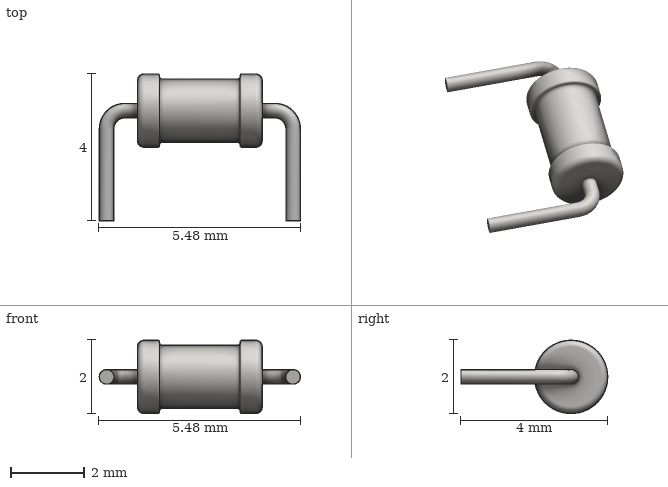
import cadquery as cq

overall_length = 5.48
body_length = 3.4
cap_radius = 1.0
barrel_radius = 0.865
lead_diameter = 0.4
bend_radius = 0.5
lead_drop = 3.0005

cap_width = 0.605
outer_rounding = 0.18
inner_rounding = 0.055
neck_fillet = 0.06

half_body = body_length / 2
half_pitch = (overall_length - lead_diameter) / 2
cap_inner_face = half_body - cap_width


def make_body():
    """Barrel between two wider, rounded end caps, as one solid of revolution."""
    barrel_end = cap_inner_face - neck_fillet
    neck_top = barrel_radius + neck_fillet
    inner_corner = cap_radius - inner_rounding
    rim_start = cap_inner_face + inner_rounding
    rim_end = half_body - outer_rounding
    outer_corner = cap_radius - outer_rounding
    profile = (
        cq.Workplane("XY")
        .moveTo(-half_body, 0)
        .lineTo(-half_body, outer_corner)
        .radiusArc((-rim_end, cap_radius), outer_rounding)
        .lineTo(-rim_start, cap_radius)
        .radiusArc((-cap_inner_face, inner_corner), inner_rounding)
        .lineTo(-cap_inner_face, neck_top)
        .radiusArc((-barrel_end, barrel_radius), -neck_fillet)
        .lineTo(barrel_end, barrel_radius)
        .radiusArc((cap_inner_face, neck_top), -neck_fillet)
        .lineTo(cap_inner_face, inner_corner)
        .radiusArc((rim_start, cap_radius), inner_rounding)
        .lineTo(rim_end, cap_radius)
        .radiusArc((half_body, outer_corner), outer_rounding)
        .lineTo(half_body, 0)
        .close()
    )
    return profile.revolve(360, (0, 0, 0), (1, 0, 0))


def make_lead(side):
    """Round wire leaving one end of the body and bending towards -Y."""
    bend_start = half_pitch - bend_radius
    diagonal = bend_radius * 0.5 ** 0.5
    path = (
        cq.Workplane("XY")
        .moveTo(side * half_body, 0)
        .lineTo(side * bend_start, 0)
        .threePointArc(
            (side * (bend_start + diagonal), diagonal - bend_radius),
            (side * half_pitch, -bend_radius),
        )
        .lineTo(side * half_pitch, -lead_drop)
    )
    section = cq.Workplane("YZ", origin=(side * half_body, 0, 0)).circle(lead_diameter / 2)
    return section.sweep(path)


body = make_body()
leads = [make_lead(side) for side in (-1, 1)]

result = cq.Compound.makeCompound([body.val(), *[lead.val() for lead in leads]])